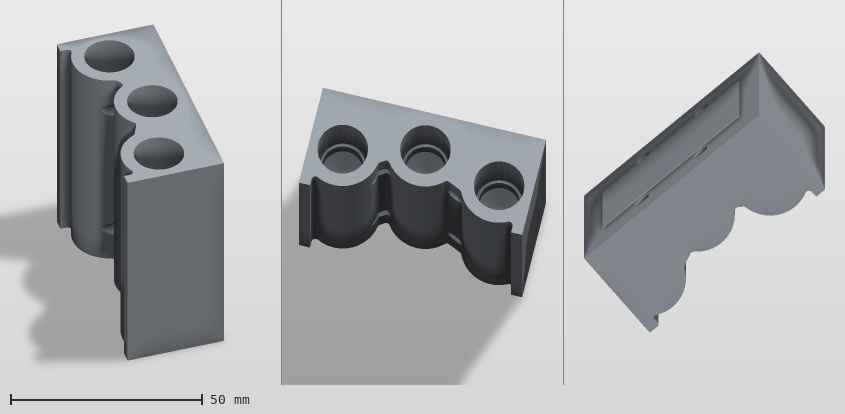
import cadquery as cq
import math

width = 60.0
height = 60.0
overall_depth = 27.0
plate_thickness = 0.5
block_depth = overall_depth - plate_thickness

side_port_x = 21.0
side_port_y = 11.5
centre_port_y = 16.5
port_centres = [(-side_port_x, side_port_y), (0.0, centre_port_y), (side_port_x, side_port_y)]
lobe_radius = 10.0

mouth_radius = 6.6
bore_depth = 16.2
thread_taper = 1 / 16
bore_end_radius = mouth_radius - bore_depth * thread_taper / 2
pilot_radius = 5.35
pilot_depth = 21.0
tip_angle = 120.0
tip_height = pilot_radius / math.tan(math.radians(tip_angle / 2))

rail_width = 3.0
recess_fillet = 1.0
left_groove_floor = [(-12.0, 9.5), (-7.8, 12.25)]
right_groove_floor = [(6.6, 10.15), (13.2, 7.15)]

mount_hole_diameter = 4.5
mount_hole_pitch_x = 20.0
mount_hole_pitch_z = 40.0

plate_width = 46.55
plate_height = 16.4


def make_front_recess():
    """Space between the rails, with the three lobes left standing in it."""
    rail_x = width / 2 - rail_width
    outline = [
        (-rail_x, 0.0),
        (-rail_x, side_port_y),
        *left_groove_floor,
        (0.0, centre_port_y),
        *right_groove_floor,
        (rail_x, side_port_y),
        (rail_x, 0.0),
    ]
    recess = cq.Workplane("XY", origin=(0, 0, -height / 2)).polyline(outline).close().extrude(height)
    lobes = (
        cq.Workplane("XY", origin=(0, 0, -height / 2))
        .pushPoints(port_centres)
        .circle(lobe_radius)
        .extrude(height, combine=False)
    )
    for lobe in lobes.vals():
        recess = recess.cut(cq.Workplane(lobe))
    return recess.edges("|Z and (not <Y)").fillet(recess_fillet)


def make_port(x, y):
    """Solid of revolution that is removed for one port, entering from the top face."""
    profile = [
        (0.0, 0.0),
        (mouth_radius, 0.0),
        (bore_end_radius, -bore_depth),
        (pilot_radius, -bore_depth),
        (pilot_radius, -pilot_depth),
        (0.0, -pilot_depth - tip_height),
    ]
    port = cq.Workplane("XZ").polyline(profile).close().revolve(360, (0, 0, 0), (0, 1, 0))
    return port.translate((x, y, height / 2))


def make_mount_holes():
    """Four round pins, one per mounting hole, through the whole block along Y."""
    return (
        cq.Workplane("XZ")
        .rarray(mount_hole_pitch_x, mount_hole_pitch_z, 2, 2)
        .circle(mount_hole_diameter / 2)
        .extrude(-block_depth)
    )


def make_housing():
    """Block with the lobed front, three ports and four mounting holes."""
    housing = cq.Workplane("XY").box(width, block_depth, height, centered=(True, False, True))
    housing = housing.cut(make_front_recess())
    for x, y in port_centres:
        housing = housing.cut(make_port(x, y))
    return housing.cut(make_mount_holes())


def make_back_plate(z):
    """One thin plate lying on the back face, centred at height z."""
    plate = cq.Workplane("XY").box(plate_width, plate_thickness, plate_height, centered=(True, False, True))
    return plate.translate((0, block_depth, z))


housing = make_housing()
back_plates = [make_back_plate(side * plate_height / 2) for side in (-1, 1)]

result = cq.Compound.makeCompound([housing.val(), *[plate.val() for plate in back_plates]])